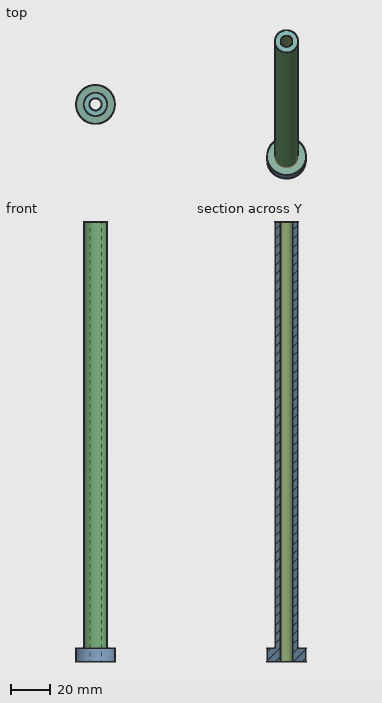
import cadquery as cq

total_length = 225.0
head_diameter = 20.0
head_height = 7.0
shaft_diameter = 12.0
bore_diameter = 6.0
root_fillet = 0.5

head = cq.Workplane("XY").circle(head_diameter / 2).extrude(head_height)

sleeve = head.faces(">Z").workplane().circle(shaft_diameter / 2).extrude(total_length - head_height)

shaft_root = cq.selectors.RadiusNthSelector(0)
head_shoulder = sleeve.faces("%PLANE").faces(cq.selectors.CenterNthSelector(cq.Vector(0, 0, 1), 1))
sleeve = head_shoulder.edges(shaft_root).fillet(root_fillet)

result = sleeve.faces(">Z").workplane().circle(bore_diameter / 2).cutThruAll()